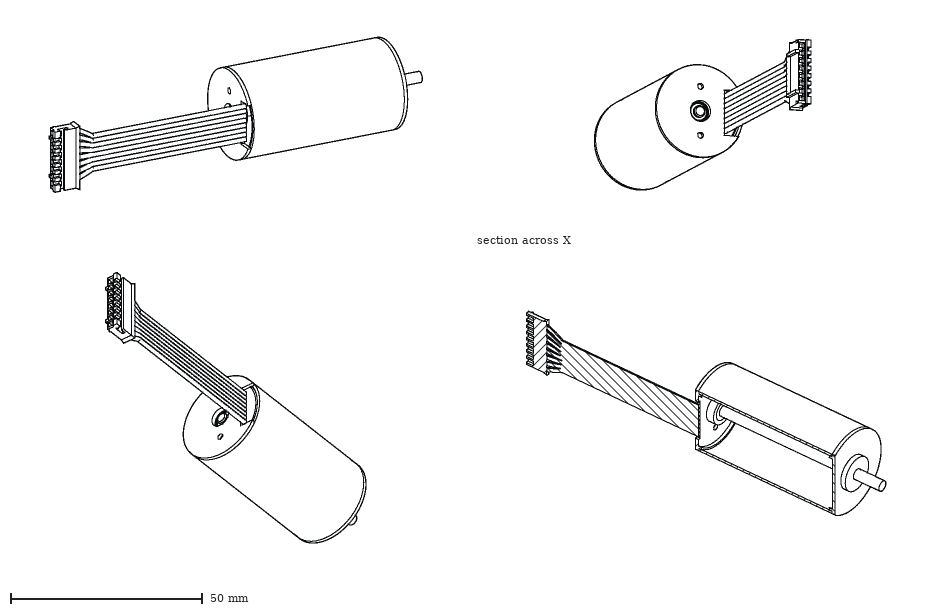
import cadquery as cq
import math


motor_dia = 24.5
shell_bore_dia = 23.0
cap_lip_bore_dia = 22.0
motor_length = 46.1
cap_thickness = 1.0
cap_lip_length = 1.0
boss_dia = 10.0
boss_length = 1.5

shaft_dia = 3.0
shaft_chamfer = 0.3
shaft_recess = 0.3
shaft_front_reach = 8.4
bearing_dia = 5.5
bearing_recess = 1.3
bearing_length = 2.0
shield_groove_outer_dia = 5.0
shield_groove_inner_dia = 4.5
shield_groove_depth = 0.2
bearing_hub_dia = 8.0

screw_hole_dia = 1.6
screw_hole_radius = 6.5
cable_slot_height = 12.1

wire_count = 8
wire_dia = 1.3
wire_overlap = 0.02
wire_pitch = wire_dia - wire_overlap
wire_x = 7.3
ribbon_end = 43.9
fan_bow_ratio = 0.05
straight_tolerance = 1.12e-06
cable_start = -cap_thickness
cable_slot_x = wire_x - wire_dia / 2

contact_pitch = 2.0
connector_start = 49.0
connector_end = 56.1
flange_length = 1.0
flange_height = 17.9
body_height = 16.9
body_left = 6.3
body_right = 9.6
flange_overhang = 0.3
face_end = 55.7
rib_left = 5.5
rib_width = 0.8
rib_outer_spacing = 11.5
lug_left = 8.2
lug_chamfer = 0.3
hook_inner = 9.0
notch_start = 51.9
hook_end = 53.3
notch_end = 54.6
slit_width = 1.0
slit_left = 8.9
cavity_left = 6.6
cavity_width = 1.5
cavity_height = 1.3
cavity_depth = 2.2
groove_left = 7.4
groove_depth = 0.7
bump_dia = 0.6
bump_length = 0.7
bump_position = 54.6

connector_z = (contact_pitch - wire_pitch) / 2

motor_radius = motor_dia / 2
shaft_front = motor_length + boss_length + shaft_front_reach


def cylinder(diameter, start, end):
    """Cylinder on the motor axis between two Y positions."""
    return cq.Workplane("XZ", origin=(0, start, 0)).circle(diameter / 2).extrude(start - end)


def ring(outer, inner, start, end):
    """Tube on the motor axis between two Y positions."""
    return cylinder(outer, start, end).cut(cylinder(inner, start, end))


def block(x_range, y_range, z_range):
    """Axis-aligned box between the given limits."""
    size = [high - low for low, high in (x_range, y_range, z_range)]
    corner = (x_range[0], y_range[0], z_range[0])
    return cq.Workplane("XY").box(*size, centered=False).translate(corner)


def centred_positions(count, pitch):
    """Evenly spaced positions about zero."""
    return [(i - (count - 1) / 2) * pitch for i in range(count)]


def make_shell():
    """Motor tube between the two cap plates."""
    return ring(motor_dia, shell_bore_dia, cap_thickness, motor_length - cap_thickness)


def make_front_cap():
    """Cap with a lip inside the shell and a boss around the shaft."""
    inner_face = motor_length - cap_thickness
    cap = cylinder(motor_dia, inner_face, motor_length)
    cap = cap.union(ring(shell_bore_dia, cap_lip_bore_dia, inner_face - cap_lip_length, inner_face))
    cap = cap.union(cylinder(boss_dia, motor_length, motor_length + boss_length))
    return cap.cut(cylinder(shaft_dia, inner_face, motor_length + boss_length))


def make_rear_cap():
    """Cap with the cable slot, two screw holes and a hub that holds the bearing."""
    hub_end = bearing_recess + bearing_length
    cap = cylinder(motor_dia, 0, cap_thickness)
    cable_slot = block(
        (cable_slot_x, motor_radius), (0, cap_thickness), (-cable_slot_height / 2, cable_slot_height / 2)
    )
    screw_holes = (
        cq.Workplane("XZ")
        .pushPoints([(0, screw_hole_radius), (0, -screw_hole_radius)])
        .circle(screw_hole_dia / 2)
        .extrude(-cap_thickness)
    )
    cap = cap.cut(cable_slot).cut(screw_holes)
    cap = cap.union(
        ring(shell_bore_dia, cap_lip_bore_dia, cap_thickness, cap_thickness + cap_lip_length)
    )
    cap = cap.union(cylinder(bearing_hub_dia, cap_thickness, hub_end))
    return cap.cut(cylinder(bearing_dia, 0, hub_end))


def make_bearing():
    """Rear bearing with a shallow shield groove, set back in the rear cap."""
    bearing = ring(bearing_dia, shaft_dia, bearing_recess, bearing_recess + bearing_length)
    groove_floor = bearing_recess + shield_groove_depth
    groove = ring(shield_groove_outer_dia, shield_groove_inner_dia, bearing_recess, groove_floor)
    return bearing.cut(groove)


def make_shaft():
    """Shaft through the whole motor, chamfered at its rear end."""
    return cylinder(shaft_dia, shaft_recess, shaft_front).faces("<Y").chamfer(shaft_chamfer)


def make_fan_wire(ribbon_z, contact_z):
    """Gently bowed wire from the ribbon end to its contact, flush with both."""
    rise = contact_z - ribbon_z
    fan_length = connector_start - ribbon_end
    start = cq.Workplane("XZ", origin=(wire_x, -ribbon_end, ribbon_z)).circle(wire_dia / 2)
    if math.isclose(rise, 0, abs_tol=straight_tolerance):
        return start.extrude(fan_length)
    middle_rise = rise * (0.5 + fan_bow_ratio)
    return (
        start.workplane(offset=fan_length / 2)
        .center(0, middle_rise)
        .circle(wire_dia / 2)
        .workplane(offset=fan_length / 2)
        .center(0, rise - middle_rise)
        .circle(wire_dia / 2)
        .loft(combine=True)
    )


def make_wire(ribbon_z, contact_z):
    """One wire: its straight run in the ribbon followed by its fanned-out end."""
    straight_run = (
        cq.Workplane("XZ", origin=(wire_x, -cable_start, ribbon_z))
        .circle(wire_dia / 2)
        .extrude(ribbon_end - cable_start)
    )
    return straight_run.union(make_fan_wire(ribbon_z, contact_z))


def make_cable():
    """Flat ribbon: neighbouring wires overlap slightly, so they form one solid."""
    ribbon_positions = centred_positions(wire_count, wire_pitch)
    contact_positions = [z + connector_z for z in centred_positions(wire_count, contact_pitch)]
    wires = [make_wire(*ends) for ends in zip(ribbon_positions, contact_positions)]
    cable = wires[0]
    for wire in wires[1:]:
        cable = cable.union(wire)
    return cable.clean()


def make_connector_body():
    """Body profile, extruded along Z, with the hooked notch and the lug on its +X side."""
    outline = [
        (body_left, -connector_start),
        (body_right, -connector_start),
        (body_right, -hook_end),
        (hook_inner, -hook_end),
        (hook_inner, -notch_start),
        (lug_left, -notch_start),
        (lug_left, -notch_end),
        (body_right, -notch_end),
        (body_right, -connector_end),
        (lug_left + lug_chamfer, -connector_end),
        (lug_left, -face_end),
        (body_left, -face_end),
    ]
    return (
        cq.Workplane("XY", origin=(0, 0, -body_height / 2)).polyline(outline).close().extrude(body_height)
    )


def make_flange():
    """Flange at the wire end, tapering down to the body at both Z ends and on the +X side."""
    body_width = body_right - body_left
    flange_width = body_width + flange_overhang
    return (
        cq.Workplane("XZ", origin=(body_left + flange_width / 2, -connector_start, 0))
        .rect(flange_width, flange_height)
        .workplane(offset=flange_length)
        .center(-flange_overhang / 2, 0)
        .rect(body_width, body_height)
        .loft(combine=True)
    )


def make_ribs():
    """Two ribs on the -X side, joined at the wire end by a wedge."""
    rib_outer = rib_outer_spacing / 2
    rib_inner = rib_outer - rib_width
    wedge_outline = [
        (body_left, -connector_start),
        (rib_left, -connector_start),
        (body_left, -connector_start - flange_length),
    ]
    ribs = (
        cq.Workplane("XY", origin=(0, 0, -rib_inner)).polyline(wedge_outline).close().extrude(2 * rib_inner)
    )
    for z_range in ((-rib_outer, -rib_inner), (rib_inner, rib_outer)):
        ribs = ribs.union(block((rib_left, body_left), (-face_end, -connector_start), z_range))
    return ribs


def make_bump(bottom):
    """Small round ridge on the -X face."""
    return (
        cq.Workplane("XY", origin=(body_left, -bump_position, bottom))
        .circle(bump_dia / 2)
        .extrude(bump_length)
    )


def make_contact_cavity(z):
    """Blind contact opening in the -Y face."""
    return block(
        (cavity_left, cavity_left + cavity_width),
        (-face_end, -face_end + cavity_depth),
        (z - cavity_height / 2, z + cavity_height / 2),
    )


def make_contact_groove():
    """Shallow groove that joins the contact cavities along their lug side."""
    half_length = ((wire_count - 1) * contact_pitch + cavity_height) / 2
    return block(
        (groove_left, cavity_left + cavity_width),
        (-face_end, -face_end + groove_depth),
        (-half_length, half_length),
    )


def make_lug_slit(z):
    """Slit that parts the lug between two neighbouring contacts."""
    return block(
        (slit_left, body_right),
        (-connector_end, -notch_end),
        (z - slit_width / 2, z + slit_width / 2),
    )


def make_connector():
    connector = make_connector_body().union(make_flange()).union(make_ribs())
    for bottom in (-body_height / 2, body_height / 2 - bump_length):
        connector = connector.union(make_bump(bottom))
    for z in centred_positions(wire_count, contact_pitch):
        connector = connector.cut(make_contact_cavity(z))
    connector = connector.cut(make_contact_groove())
    for z in centred_positions(wire_count - 1, contact_pitch):
        connector = connector.cut(make_lug_slit(z))
    return connector.translate((0, 0, connector_z))


shell = make_shell()
front_cap = make_front_cap()
rear_cap = make_rear_cap()
bearing = make_bearing()
shaft = make_shaft()
cable = make_cable()
connector = make_connector()

result = cq.Compound.makeCompound([
    shell.val(),
    front_cap.val(),
    rear_cap.val(),
    bearing.val(),
    shaft.val(),
    cable.val(),
    connector.val(),
])